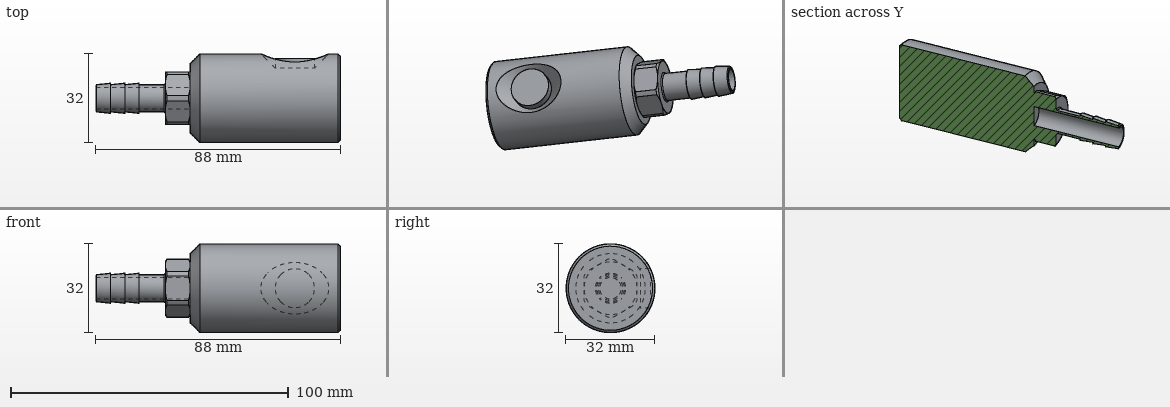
import cadquery as cq
import math

total_length = 88.0

tail_radius = 4.9
barb_radius = 5.5
tip_radius = 4.4
tip_length = 0.3
first_barb_end = 5.4
barb_pitch = 5.1
barb_count = 3
bore_radius = 3.9
neck_flare = 0.4

hex_start = 25.0
body_start = 34.0
hex_across_flats = 19.0
hex_corner_radius = 10.5
hex_chamfer_length = 0.6
hex_chamfer_radius = hex_across_flats / 2

body_radius = 16.0
front_chamfer = 3.5
rear_chamfer = 0.9

recess_x = 71.6
recess_mouth_radius = 12.2
disc_radius = 7.0
disc_top = 14.3
recess_floor = body_radius - (recess_mouth_radius - disc_radius)


def make_hose_tail():
    profile = cq.Workplane("XY").lineTo(0, tip_radius).lineTo(tip_length, tail_radius)
    for index in range(barb_count):
        barb_end = first_barb_end + index * barb_pitch
        profile = profile.lineTo(barb_end, barb_radius).lineTo(barb_end, tail_radius)
    profile = (
        profile.lineTo(hex_start - neck_flare, tail_radius)
        .lineTo(hex_start, tail_radius + neck_flare)
        .lineTo(hex_start, 0)
        .close()
    )
    return profile.revolve(360, (0, 0, 0), (1, 0, 0))


def make_hex_nut():
    hex_length = body_start - hex_start
    corner_diameter = hex_across_flats / math.cos(math.pi / 6)
    prism = (
        cq.Workplane("YZ", origin=(hex_start, 0, 0))
        .polygon(6, corner_diameter)
        .extrude(hex_length)
        .rotate((0, 0, 0), (1, 0, 0), 90)
    )
    corner_envelope = (
        cq.Workplane("XY")
        .moveTo(hex_start, 0)
        .lineTo(hex_start, hex_chamfer_radius)
        .lineTo(hex_start + hex_chamfer_length, hex_corner_radius)
        .lineTo(body_start - hex_chamfer_length, hex_corner_radius)
        .lineTo(body_start, hex_chamfer_radius)
        .lineTo(body_start, 0)
        .close()
        .revolve(360, (0, 0, 0), (1, 0, 0))
    )
    return prism.intersect(corner_envelope)


def make_body():
    return (
        cq.Workplane("YZ", origin=(body_start, 0, 0))
        .circle(body_radius)
        .extrude(total_length - body_start)
        .faces("<X").chamfer(front_chamfer)
        .faces(">X").chamfer(rear_chamfer)
    )


def make_recess():
    return (
        cq.Workplane("XY")
        .moveTo(recess_x, body_radius)
        .lineTo(recess_x + recess_mouth_radius, body_radius)
        .lineTo(recess_x + disc_radius, recess_floor)
        .lineTo(recess_x, recess_floor)
        .close()
        .revolve(360, (recess_x, 0, 0), (recess_x, 1, 0))
    )


def make_disc():
    return (
        cq.Workplane("XZ", origin=(recess_x, disc_top, 0))
        .circle(disc_radius)
        .extrude(disc_top - recess_floor)
    )


def make_bore():
    return cq.Workplane("YZ").circle(bore_radius).extrude(body_start)


result = (
    make_body()
    .cut(make_recess())
    .union(make_disc())
    .union(make_hex_nut())
    .union(make_hose_tail())
    .cut(make_bore())
)